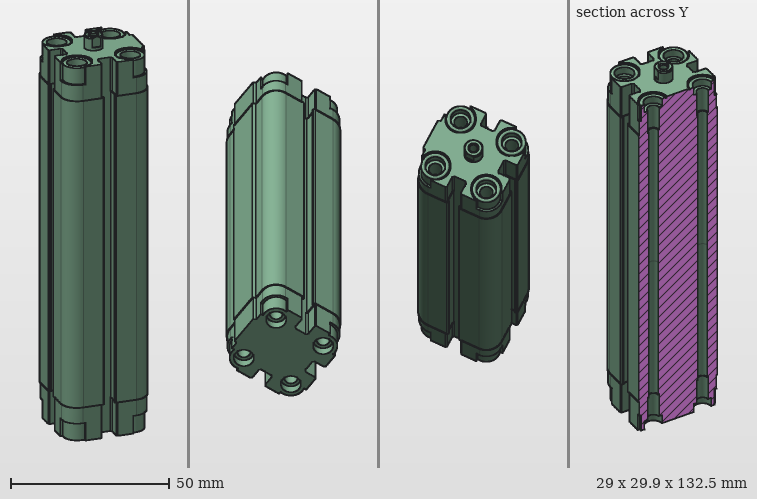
import cadquery as cq

TOTAL_HEIGHT = 132.5
ROD_STICK_OUT = 4.5
HOUSING_HEIGHT = TOTAL_HEIGHT - ROD_STICK_OUT
CAP_HEIGHT = 11.5
BARREL_HEIGHT = HOUSING_HEIGHT - 2 * CAP_HEIGHT
BARREL_WIDTH = 29.0
CAP_INSET = 0.3
SCREW_OFFSET = 9.0

PAD_RISE = 0.9
PAD_TOP_HALF_WIDTH = 5.2
PAD_SLOPE_RUN = 0.4

SLOT_FLOOR = 9.7
BARREL_SLOT_WIDTH = 4.4
BARREL_MOUTH_WIDTH = 3.6
BARREL_LIP = 0.9
BARREL_MOUTH_CHAMFER = 0.4
CAP_SLOT_WIDTH = 4.9
CAP_MOUTH_CHAMFER = 0.4
CAP_FLOOR_CHAMFER = 0.5

SCREW_BORE_DIAMETER = 3.3
THREAD_DIAMETER = 4.1
THREAD_DEPTH = 11.9
COUNTERBORE_DIAMETER = 6.4
COUNTERBORE_DEPTH = 3.2
RELIEF_HEIGHT = 6.1
RELIEF_START = 8.1
COLLAR_DIAMETER = 9.0
GROOVE_DIAMETER = 9.8
RIM_DROP = 0.1
RIM_ROUNDING_HEIGHT = 0.4

ROD_DIAMETER = 6.0
ROD_CHAMFER_HEIGHT = 0.5
ROD_CHAMFER_WIDTH = 0.3
ROD_FLATS_WIDTH = 5.3
ROD_FLATS_HEIGHT = 3.5
ROD_THREAD_DIAMETER = 2.5
ROD_THREAD_DEPTH = 6.0
ROD_COUNTERSINK_DIAMETER = 3.3

SLOT_ANGLES = (-90, 0, 180)
SCREW_POINTS = [(x, y) for x in (-SCREW_OFFSET, SCREW_OFFSET) for y in (-SCREW_OFFSET, SCREW_OFFSET)]


def profile_block(half_width, height):
    """Square column with arcs around the screw axes and a raised pad along +Y."""
    corner_radius = half_width - SCREW_OFFSET
    column = (
        cq.Workplane("XY")
        .rect(2 * half_width, 2 * half_width)
        .extrude(height)
        .edges("|Z")
        .fillet(corner_radius)
    )
    pad_base_half_width = PAD_TOP_HALF_WIDTH + PAD_SLOPE_RUN
    pad = (
        cq.Workplane("XY")
        .polyline([
            (-pad_base_half_width, 0),
            (-pad_base_half_width, half_width),
            (-PAD_TOP_HALF_WIDTH, half_width + PAD_RISE),
            (PAD_TOP_HALF_WIDTH, half_width + PAD_RISE),
            (pad_base_half_width, half_width),
            (pad_base_half_width, 0),
        ])
        .close()
        .extrude(height)
    )
    return column.union(pad)


def mirrored_slot(half_outline, height):
    """Cutter along +X whose outline, given for +Y, is mirrored to -Y."""
    other_half = [(x, -y) for x, y in reversed(half_outline)]
    return cq.Workplane("XY").polyline(half_outline + other_half).close().extrude(height)


def cut_slots(block, slot):
    for angle in SLOT_ANGLES:
        block = block.cut(slot.rotate((0, 0, 0), (0, 0, 1), angle))
    return block


def make_barrel():
    face = BARREL_WIDTH / 2
    half_slot = BARREL_SLOT_WIDTH / 2
    half_mouth = BARREL_MOUTH_WIDTH / 2
    slot = mirrored_slot(
        [
            (SLOT_FLOOR, half_slot),
            (face - BARREL_LIP, half_slot),
            (face - BARREL_LIP, half_mouth),
            (face - BARREL_MOUTH_CHAMFER, half_mouth),
            (face, half_mouth + BARREL_MOUTH_CHAMFER),
        ],
        BARREL_HEIGHT,
    )
    return cut_slots(profile_block(face, BARREL_HEIGHT), slot)


def cut_corner_reliefs(cap):
    """Step each corner back to a round collar around the screw axis, at the outer end."""
    relief_size = BARREL_WIDTH / 2 - RELIEF_START
    relief_center = RELIEF_START + relief_size / 2
    relief_bottom = CAP_HEIGHT - RELIEF_HEIGHT
    for x, y in SCREW_POINTS:
        x_side = x / SCREW_OFFSET
        y_side = y / SCREW_OFFSET
        relief = (
            cq.Workplane("XY", origin=(0, 0, relief_bottom))
            .center(x_side * relief_center, y_side * relief_center)
            .rect(relief_size, relief_size)
            .extrude(RELIEF_HEIGHT)
        )
        collar = (
            cq.Workplane("XY", origin=(x, y, relief_bottom))
            .circle(COLLAR_DIAMETER / 2)
            .extrude(RELIEF_HEIGHT)
        )
        cap = cap.cut(relief.cut(collar))
    return cap


def make_cap():
    """End cap with its outer end up, standing on the XY plane."""
    face = BARREL_WIDTH / 2 - CAP_INSET
    half_slot = CAP_SLOT_WIDTH / 2
    slot = mirrored_slot(
        [
            (SLOT_FLOOR, half_slot - CAP_FLOOR_CHAMFER),
            (SLOT_FLOOR + CAP_FLOOR_CHAMFER, half_slot),
            (face - CAP_MOUTH_CHAMFER, half_slot),
            (face, half_slot + CAP_MOUTH_CHAMFER),
        ],
        CAP_HEIGHT,
    )
    cap = cut_slots(profile_block(face, CAP_HEIGHT), slot)
    return cut_corner_reliefs(cap)


def revolve_about_z(profile):
    return profile.close().revolve(360, (0, 0, 0), (0, 1, 0))


def screw_hole_cutter():
    """Stepped hole that starts at Z = 0 and goes down to the middle of the housing."""
    counterbore_radius = COUNTERBORE_DIAMETER / 2
    thread_radius = THREAD_DIAMETER / 2
    bore_radius = SCREW_BORE_DIAMETER / 2
    return revolve_about_z(
        cq.Workplane("XZ").polyline([
            (0, 0),
            (counterbore_radius, 0),
            (counterbore_radius, -COUNTERBORE_DEPTH),
            (thread_radius, -COUNTERBORE_DEPTH),
            (thread_radius, -THREAD_DEPTH),
            (bore_radius, -THREAD_DEPTH),
            (bore_radius, -HOUSING_HEIGHT / 2),
            (0, -HOUSING_HEIGHT / 2),
        ])
    )


def collar_rim_cutter():
    """Ring that rounds a collar rim over and leaves the groove around it, top at Z = 0."""
    inner_radius = COUNTERBORE_DIAMETER / 2
    collar_radius = COLLAR_DIAMETER / 2
    groove_radius = GROOVE_DIAMETER / 2
    crest_radius = (inner_radius + collar_radius) / 2
    rim_base = -RIM_DROP - RIM_ROUNDING_HEIGHT
    return revolve_about_z(
        cq.Workplane("XZ")
        .moveTo(inner_radius, 0)
        .lineTo(groove_radius, 0)
        .lineTo(groove_radius, rim_base)
        .lineTo(collar_radius, rim_base)
        .threePointArc((crest_radius, -RIM_DROP), (inner_radius, rim_base))
    )


def make_housing():
    cap = make_cap()
    top_cap = cap.translate((0, 0, HOUSING_HEIGHT - CAP_HEIGHT))
    bottom_cap = cap.mirror("XY").translate((0, 0, CAP_HEIGHT))
    body = make_barrel().translate((0, 0, CAP_HEIGHT)).union(top_cap).union(bottom_cap)

    hole = screw_hole_cutter()
    top_hole = hole.union(collar_rim_cutter()).translate((0, 0, HOUSING_HEIGHT))
    bottom_hole = hole.mirror("XY")
    for x, y in SCREW_POINTS:
        body = body.cut(top_hole.translate((x, y, 0)))
        body = body.cut(bottom_hole.translate((x, y, 0)))

    rod_bore = (
        cq.Workplane("XY", origin=(0, 0, HOUSING_HEIGHT - CAP_HEIGHT))
        .circle(ROD_DIAMETER / 2)
        .extrude(CAP_HEIGHT)
    )
    return body.cut(rod_bore)


def make_piston_rod():
    """Rod seated in the top cap, with two wrench flats and a threaded hole in its end."""
    rod = (
        cq.Workplane("XY", origin=(0, 0, HOUSING_HEIGHT - CAP_HEIGHT))
        .circle(ROD_DIAMETER / 2)
        .extrude(CAP_HEIGHT + ROD_STICK_OUT)
        .faces(">Z")
        .chamfer(ROD_CHAMFER_HEIGHT, ROD_CHAMFER_WIDTH)
        .faces(">Z")
        .workplane()
        .cskHole(ROD_THREAD_DIAMETER, ROD_COUNTERSINK_DIAMETER, 90, ROD_THREAD_DEPTH)
    )
    flats_zone = (
        cq.Workplane("XY", origin=(0, 0, TOTAL_HEIGHT - ROD_FLATS_HEIGHT))
        .rect(2 * ROD_DIAMETER, 2 * ROD_DIAMETER)
        .rect(ROD_FLATS_WIDTH, 2 * ROD_DIAMETER)
        .extrude(ROD_FLATS_HEIGHT)
    )
    return rod.cut(flats_zone)


housing = make_housing()
piston_rod = make_piston_rod()

result = cq.Compound.makeCompound([housing.val(), piston_rod.val()])